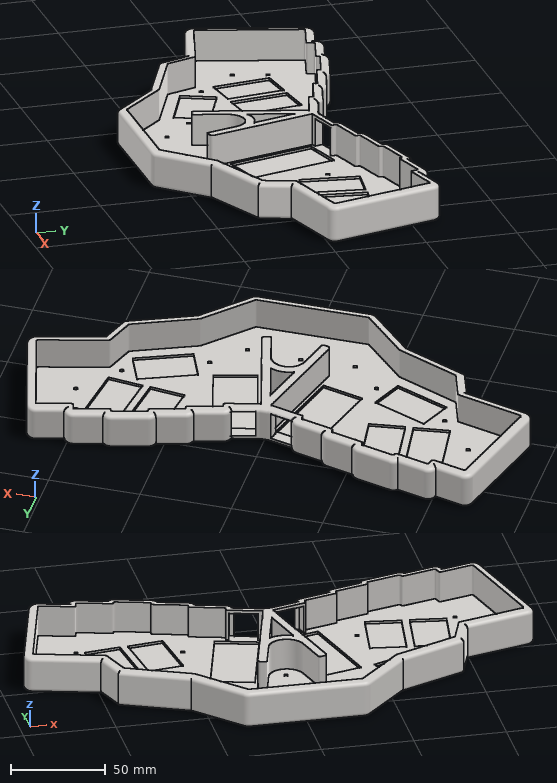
import cadquery as cq
import math


HEIGHT = 20.5
WALL = 5.0
FLOOR = 3.0
EDGE_ROUND = 2.5
INNER_ROUND = 1.0

WING_ANGLE = 15
WING_X = 2.8
WING_Y = 97.2
COLUMN_PITCH = 19.8
COLUMN_REAR_V = [0, 2.8, 5.2, 7.5, 5.2, 0.5]
WING_FRONT_V = -58.5

WING_NOTCH_U = 80.2
FRONT_CORNERS = [(89.5, 44.5), (54.5, 29.8), (30.9, WALL)]

LEG_LENGTH = 62.3
LEG_OVERLAP = 1.0
LEG_OUTER_ROUND = 1.8
BRIDGE_RADIUS = 9.6

POCKET_DEPTH = 1.5
SMALL_POCKET_WIDTH = 19.5
SMALL_POCKET_LENGTH = 32.5
SMALL_POCKETS = [(86.0, 88.2, -7.5), (62.3, 91.0, -7.5), (67.2, 53.2, 112.5)]
LARGE_POCKET_WIDTH = 23.7
LARGE_POCKET_LENGTH = 49.5
LARGE_POCKET_MARGIN = 2.0

WINDOW_START_U = 2.8
WINDOW_WIDTH = 15.5
WINDOW_HEIGHT = 15.5
WINDOW_OVERCUT = 0.3

HOLE_DIAMETER = 2.0
MIDDLE_HOLES = [(0, 53.2), (0, 28.0)]
WING_HOLES = [(102.5, 103.5), (107.5, 85.5), (47.0, 92.8), (88.5, 62.8), (45.7, 43.3), (29.5, 26.7)]

COS = math.cos(math.radians(WING_ANGLE))
SIN = math.sin(math.radians(WING_ANGLE))

BRIDGE_Y = WING_Y + (WING_X * COS - WALL - BRIDGE_RADIUS) / SIN


def wing_point(u, v):
    """Turn right-wing coordinates into part coordinates."""
    return WING_X + u * COS - v * SIN, WING_Y + u * SIN + v * COS


def mirrored(points):
    return [(-x, y) for x, y in points]


def both_sides(right_half):
    return right_half.union(right_half.mirror("YZ"))


def cavity_corners():
    """Closed cavity outline: stepped rear, wing side and angled front, on both sides."""
    right = []
    for column, rear_v in enumerate(COLUMN_REAR_V):
        right.append(wing_point(column * COLUMN_PITCH, rear_v))
        right.append(wing_point((column + 1) * COLUMN_PITCH, rear_v))
    right.append(wing_point(len(COLUMN_REAR_V) * COLUMN_PITCH, WING_FRONT_V))
    right.append(wing_point(WING_NOTCH_U, WING_FRONT_V))
    right += FRONT_CORNERS
    return right + mirrored(right)[::-1]


def outer_block(corner_style):
    """Cavity outline grown by the wall; its corners are round ("arc") or sharp ("intersection")."""
    outline = cq.Workplane("XY").polyline(cavity_corners()).close()
    return outline.offset2D(WALL, corner_style).extrude(HEIGHT)


def sharp_corners():
    """The outer corner beside each wing notch, which stays sharp."""
    x, y = FRONT_CORNERS[0]
    size = 4 * WALL
    around_corners = cq.Workplane("XY").pushPoints([(x, y), (-x, y)]).rect(size, size).extrude(HEIGHT)
    return outer_block("intersection").intersect(around_corners)


def tray():
    body = outer_block("arc").union(sharp_corners()).clean()
    body = body.faces("<Z or >Z").edges().fillet(EDGE_ROUND)
    cavity = cq.Workplane("XY").workplane(offset=FLOOR).polyline(cavity_corners()).close()
    cavity = cavity.extrude(HEIGHT - FLOOR).edges("|Z").fillet(INNER_ROUND)
    return body.cut(cavity)


def box_from(u, v, bottom, width, length, height):
    """Box reaching from its lowest corner along u, v and Z, before it is put in the wing."""
    return cq.Workplane("XY").box(width, length, height, centered=False).translate((u, v, bottom))


def put_in_wing(shape):
    """Move a shape drawn in u and v into the right wing."""
    return shape.rotate((0, 0, 0), (0, 0, 1), WING_ANGLE).translate((WING_X, WING_Y, 0))


def leg():
    """Right divider leg, running into the rear wall and rounded more on the outer side of its free end."""
    bar = box_from(-WALL, -LEG_LENGTH, 0, WALL, LEG_LENGTH + LEG_OVERLAP, HEIGHT)
    bar = bar.edges("|Z and >X").edges("<Y").fillet(LEG_OUTER_ROUND)
    bar = bar.edges("|Z and <X").edges("<Y").fillet(INNER_ROUND)
    return put_in_wing(bar)


def bridge():
    """Round bridge whose inner face runs tangentially into both legs."""
    outer_radius = BRIDGE_RADIUS + WALL
    inner_end = (BRIDGE_RADIUS * COS, BRIDGE_Y + BRIDGE_RADIUS * SIN)
    outer_end = (outer_radius * COS, BRIDGE_Y + outer_radius * SIN)
    return (
        cq.Workplane("XY")
        .moveTo(*inner_end)
        .lineTo(*outer_end)
        .threePointArc((0, BRIDGE_Y + outer_radius), (-outer_end[0], outer_end[1]))
        .lineTo(-inner_end[0], inner_end[1])
        .threePointArc((0, BRIDGE_Y + BRIDGE_RADIUS), inner_end)
        .close()
        .extrude(HEIGHT)
    )


def middle_opening():
    """Through opening bounded by the two legs and the back of the bridge."""
    outer_radius = BRIDGE_RADIUS + WALL
    apex_y = BRIDGE_Y + BRIDGE_RADIUS / SIN
    along_leg = math.sqrt(outer_radius**2 - BRIDGE_RADIUS**2)
    corner_x = BRIDGE_RADIUS * COS - along_leg * SIN
    corner_y = BRIDGE_Y + BRIDGE_RADIUS * SIN + along_leg * COS
    return (
        cq.Workplane("XY")
        .moveTo(0, apex_y)
        .lineTo(corner_x, corner_y)
        .threePointArc((0, BRIDGE_Y + outer_radius), (-corner_x, corner_y))
        .close()
        .extrude(HEIGHT)
        .edges("|Z and >Y")
        .fillet(INNER_ROUND)
    )


def floor_pockets():
    """Pockets in the right wing floor: one large beside the divider, three small."""
    bottom = FLOOR - POCKET_DEPTH
    large_v = -LARGE_POCKET_MARGIN - LARGE_POCKET_LENGTH
    large = box_from(
        LARGE_POCKET_MARGIN, large_v, bottom, LARGE_POCKET_WIDTH, LARGE_POCKET_LENGTH, POCKET_DEPTH
    )
    pockets = put_in_wing(large)
    for x, y, turn in SMALL_POCKETS:
        small = cq.Workplane("XY").rect(SMALL_POCKET_WIDTH, SMALL_POCKET_LENGTH).extrude(POCKET_DEPTH)
        pockets = pockets.union(small.rotate((0, 0, 0), (0, 0, 1), turn).translate((x, y, bottom)))
    return pockets


def cable_window():
    """Opening through the right wing's rear wall, level with the floor."""
    depth = WALL + 2 * WINDOW_OVERCUT
    return put_in_wing(
        box_from(WINDOW_START_U, -WINDOW_OVERCUT, FLOOR, WINDOW_WIDTH, depth, WINDOW_HEIGHT)
    )


def screw_holes():
    """Through holes in the floor, along the middle and in both wings."""
    centres = MIDDLE_HOLES + WING_HOLES + mirrored(WING_HOLES)
    return cq.Workplane("XY").pushPoints(centres).circle(HOLE_DIAMETER / 2).extrude(FLOOR)


result = (
    tray()
    .union(both_sides(leg()))
    .union(bridge())
    .cut(middle_opening())
    .cut(both_sides(floor_pockets()))
    .cut(both_sides(cable_window()))
    .cut(screw_holes())
)